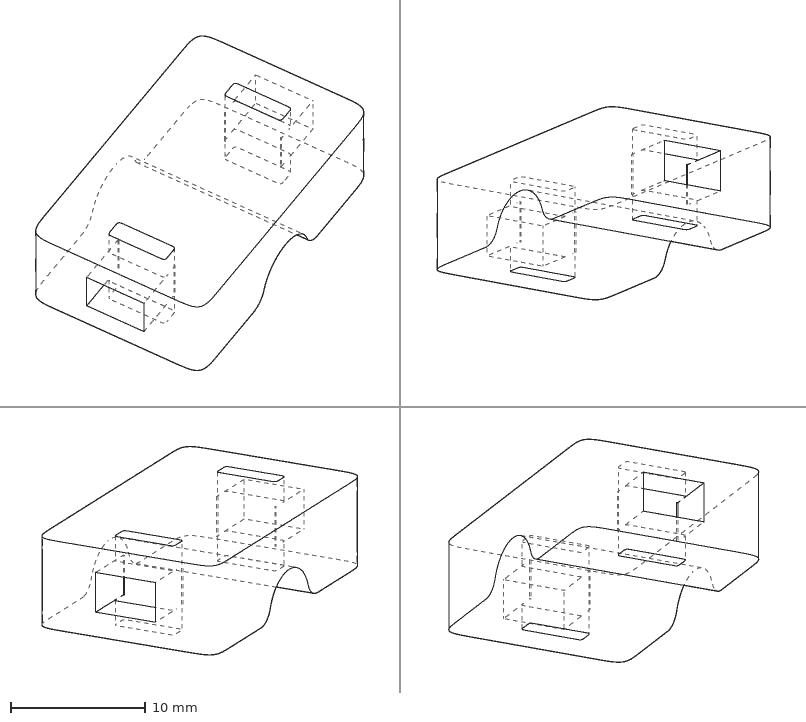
import cadquery as cq

width = 15.0
length = 24.0
height = 7.0
corner_reach = 2.0

blend_gap_share = 0.14

groove_radius = 3.25
groove_lip_radius = 1.6

slot_width = 5.0
slot_length = 1.5
slot_corner_reach = 0.4
slot_offset = 8.25
window_height = 3.12
window_bottom = 1.95
window_step = 0.05


def make_blended_block(size_x, size_y, size_z, reach):
    """Upright block whose corners ease gradually from flat side to flat side."""
    half_x = size_x / 2
    half_y = size_y / 2
    pull = reach * blend_gap_share
    outline = cq.Workplane("XY").moveTo(half_x, reach - half_y)
    for sign_x, sign_y, enters_along_y in (
        (1, 1, True), (-1, 1, False), (-1, -1, True), (1, -1, False)
    ):
        on_side = [(sign_x * half_x, sign_y * (half_y - inset)) for inset in (reach, pull)]
        on_end = [(sign_x * (half_x - inset), sign_y * half_y) for inset in (pull, reach)]
        blend = on_side + on_end
        if not enters_along_y:
            blend.reverse()
        outline = outline.lineTo(*blend[0]).bezier(blend[1:], includeCurrent=True)
    return outline.close().extrude(size_z)


def cut_saddle(body):
    """Cut a semicircular groove along X and round its two lower edges."""
    groove = cq.Workplane("YZ").circle(groove_radius).extrude(width / 2, both=True)
    body = body.cut(groove)
    margin = 0.25
    edge_reach = groove_radius + margin
    lip_edges = cq.selectors.BoxSelector(
        (-width, -edge_reach, -margin), (width, edge_reach, margin)
    )
    return body.edges("|X").edges(lip_edges).fillet(groove_lip_radius)


def make_strap_passage(side):
    """Slot through the full height plus a window out to the end face on the given Y side."""
    slot_centre = side * slot_offset
    slot = make_blended_block(slot_width, slot_length, height, slot_corner_reach)
    window_end = slot_offset - slot_length / 2 + window_step
    window_depth = length / 2 - window_end
    window = cq.Workplane("XY").box(
        slot_width, window_depth, window_height, centered=(True, True, False)
    )
    window_centre = side * (window_end + window_depth / 2)
    return slot.translate((0, slot_centre, 0)).union(
        window.translate((0, window_centre, window_bottom))
    )


result = cut_saddle(make_blended_block(width, length, height, corner_reach))
for end_side in (-1, 1):
    result = result.cut(make_strap_passage(end_side))